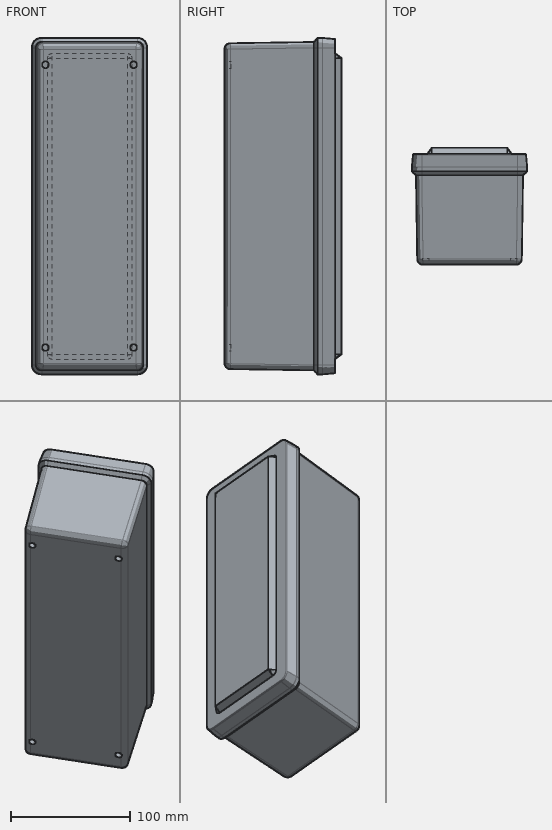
import cadquery as cq
import math

length = 282.5
width = 97.0
depth = 98.3

rim_start = 75.2
rim_full = 78.3
lid_start = 82.2
lid_back = 93.0

body_inset_back = 3.5
body_inset_front = 4.5
lid_inset = 1.0

body_corner_radius = 4.8
front_edge_radius = 5.0
rim_corner_radius = body_corner_radius + body_inset_back
lid_edge_radius = 0.8

panel_width = 63.0
panel_length = 248.7
panel_flare = 4.0

hole_diameter = 5.7
hole_depth = 5.5
hole_spacing_x = 74.0
hole_spacing_z = 237.5


def xz_plane(y):
    """Plane at Y = y facing -Y, with X to the right and Z up."""
    return cq.Plane(origin=(0, y, 0), xDir=(1, 0, 0), normal=(0, -1, 0))


def drafted_block(start_y, end_y, size_x, size_z, corner_radius=0.0, inset=0.0):
    """Rectangular block from start_y to end_y whose sides lean in by the inset; negative leans out."""
    outline = cq.Sketch().rect(size_x, size_z)
    if corner_radius > 0:
        outline = outline.vertices().fillet(corner_radius)
    height = start_y - end_y
    draft_angle = math.degrees(math.atan2(inset, abs(height)))
    return cq.Workplane(xz_plane(start_y)).placeSketch(outline).extrude(height, taper=draft_angle)


def make_body():
    """Drafted box with rounded corners and a rounded front edge."""
    size_x = width - 2 * body_inset_back
    size_z = length - 2 * body_inset_back
    block = drafted_block(rim_start, 0, size_x, size_z, inset=body_inset_front - body_inset_back)
    rounded_corners = block.edges("not(<Y or >Y)").fillet(body_corner_radius)
    return rounded_corners.faces("<Y").edges().fillet(front_edge_radius)


def make_rim():
    """Straight band with a sloped flare down to the body."""
    band = drafted_block(lid_start, rim_full, width, length, rim_corner_radius)
    flare = drafted_block(rim_full, rim_start, width, length, rim_corner_radius, body_inset_back)
    return band.union(flare)


def make_lid():
    """Slightly tapered lid with a softened back edge."""
    block = drafted_block(lid_start, lid_back, width, length, rim_corner_radius, lid_inset)
    return block.faces(">Y").edges().fillet(lid_edge_radius)


def make_panel():
    """Plate with sharp corners at its top that spread into cones at the lid."""
    return drafted_block(depth, lid_back, panel_width, panel_length, inset=-panel_flare)


def make_holes():
    """Cutters for the four blind holes."""
    return (
        cq.Workplane(xz_plane(0))
        .rect(hole_spacing_x, hole_spacing_z, forConstruction=True)
        .vertices()
        .circle(hole_diameter / 2)
        .extrude(-hole_depth)
    )


result = make_body().union(make_rim()).union(make_lid()).union(make_panel()).cut(make_holes())